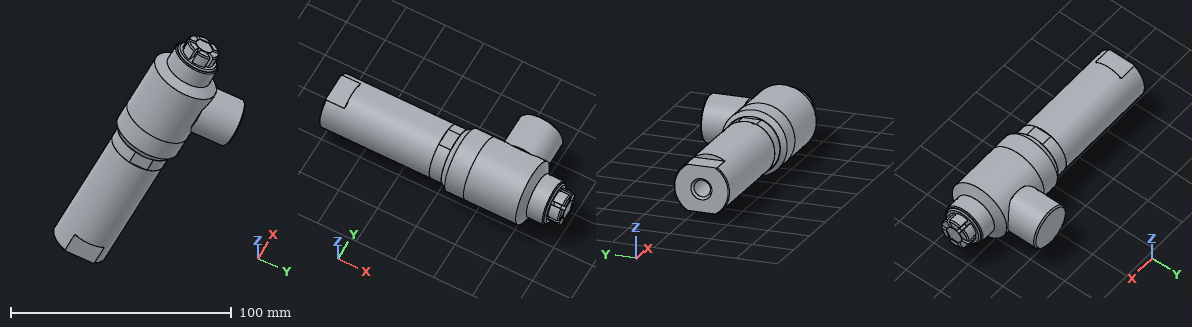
import cadquery as cq
import math

TOTAL_LENGTH = 121.2

SHANK_DIA = 26.9
ROD_LENGTH = 57.0
SHANK_CHAMFER = 0.5
SHANK_FLAT_LENGTH = 9.9
SHANK_ACROSS_FLATS = 22.3
HOLE_DIA = 8.0
HOLE_MOUTH_DIA = 10.2
HOLE_DEPTH = 18.2
DRILL_POINT_ANGLE = 118.0
NECK_DIA = 27.0
NECK_END_X = 63.3
NECK_ACROSS_FLATS = 25.5
REAR_CONE_DIA = 27.5
REAR_CONE_END_X = 66.3
JOINT_X = 76.0

BARREL_DIA = 31.7
BARREL_END_X = 102.9
FRONT_CONE_ANGLE = 60.0
COLLAR_DIA = 21.9
COLLAR_END_X = 114.4
COLLAR_CHAMFER = 0.5
LIP_DIA = 20.1
LIP_LENGTH = 0.7

TIP_DIA = 16.0
TIP_END_DIA = 14.9
TIP_END_X = 120.8
TIP_CHAMFER_LENGTH = 0.7
SLOT_COUNT = 6
SLOT_WIDTH = 1.7
STUD_DIA = 6.8
STUD_HEAD_DIA = 8.7
STUD_HEAD_LENGTH = 2.5

PORT_DIA = 22.9
PORT_X = 90.4
PORT_BASE_Y = 12.1
PORT_END_Y = 31.4
PORT_CHAMFER = 0.7


def revolve_about_x(profile):
    """Turn a closed (x, radius) outline into a solid of revolution about X."""
    return cq.Workplane("XY").polyline(profile).close().revolve(360, (0, 0, 0), (1, 0, 0))


def cut_flats(body, start_x, end_x, across_flats, dia):
    """Cut a pair of flats, facing +Z and -Z, between two X positions."""
    depth = (dia - across_flats) / 2
    for side in (-1, 1):
        cutter = cq.Workplane("XY").box(end_x - start_x, dia, depth)
        center_z = side * (across_flats + depth) / 2
        body = body.cut(cutter.translate(((start_x + end_x) / 2, 0, center_z)))
    return body


def make_shank():
    radius = SHANK_DIA / 2
    shank = revolve_about_x([
        (0, 0),
        (0, radius - SHANK_CHAMFER),
        (SHANK_CHAMFER, radius),
        (ROD_LENGTH, radius),
        (ROD_LENGTH, NECK_DIA / 2),
        (NECK_END_X, NECK_DIA / 2),
        (NECK_END_X, REAR_CONE_DIA / 2),
        (REAR_CONE_END_X, BARREL_DIA / 2),
        (JOINT_X, BARREL_DIA / 2),
        (JOINT_X, 0),
    ])
    shank = cut_flats(shank, 0, SHANK_FLAT_LENGTH, SHANK_ACROSS_FLATS, SHANK_DIA)
    shank = cut_flats(shank, ROD_LENGTH, NECK_END_X, NECK_ACROSS_FLATS, NECK_DIA)

    mouth_depth = (HOLE_MOUTH_DIA - HOLE_DIA) / 2
    point_depth = HOLE_DIA / 2 / math.tan(math.radians(DRILL_POINT_ANGLE / 2))
    hole = revolve_about_x([
        (0, 0),
        (0, HOLE_MOUTH_DIA / 2),
        (mouth_depth, HOLE_DIA / 2),
        (HOLE_DEPTH, HOLE_DIA / 2),
        (HOLE_DEPTH + point_depth, 0),
    ])
    return shank.cut(hole)


def make_barrel():
    """Barrel, front cone, collar and end lip, solid about X."""
    front_cone_length = (BARREL_DIA - COLLAR_DIA) / 2 / math.tan(math.radians(FRONT_CONE_ANGLE))
    front_cone_end_x = BARREL_END_X + front_cone_length
    lip_end_x = COLLAR_END_X + LIP_LENGTH
    return revolve_about_x([
        (JOINT_X, 0),
        (JOINT_X, BARREL_DIA / 2),
        (BARREL_END_X, BARREL_DIA / 2),
        (front_cone_end_x, COLLAR_DIA / 2),
        (COLLAR_END_X - COLLAR_CHAMFER, COLLAR_DIA / 2),
        (COLLAR_END_X, COLLAR_DIA / 2 - COLLAR_CHAMFER),
        (COLLAR_END_X, LIP_DIA / 2),
        (lip_end_x, LIP_DIA / 2 - LIP_LENGTH),
        (lip_end_x, 0),
    ])


def make_tip():
    """Ring of fingers parted by radial slots, with the flared stud in the middle."""
    start_x = COLLAR_END_X + LIP_LENGTH
    fingers = revolve_about_x([
        (start_x, 0),
        (start_x, TIP_DIA / 2),
        (TIP_END_X - TIP_CHAMFER_LENGTH, TIP_DIA / 2),
        (TIP_END_X, TIP_END_DIA / 2),
        (TIP_END_X, 0),
    ])
    for i in range(SLOT_COUNT):
        slot = cq.Workplane("XY").box(
            TIP_END_X - start_x, TIP_DIA, SLOT_WIDTH, centered=(False, False, True)
        )
        slot = slot.translate((start_x, 0, 0))
        fingers = fingers.cut(slot.rotate((0, 0, 0), (1, 0, 0), i * 360 / SLOT_COUNT))

    stud = revolve_about_x([
        (start_x, 0),
        (start_x, STUD_DIA / 2),
        (TOTAL_LENGTH - STUD_HEAD_LENGTH, STUD_DIA / 2),
        (TOTAL_LENGTH, STUD_HEAD_DIA / 2),
        (TOTAL_LENGTH, 0),
    ])
    return fingers.union(stud)


def make_port():
    """Side cylinder that starts on a flat plane inside the barrel's outline."""
    port = cq.Workplane("XZ", origin=(PORT_X, PORT_BASE_Y, 0)).circle(PORT_DIA / 2)
    port = port.extrude(PORT_BASE_Y - PORT_END_Y)
    return port.faces(">Y").chamfer(PORT_CHAMFER)


def make_housing():
    return make_barrel().union(make_port()).union(make_tip())


shank = make_shank()
housing = make_housing()

result = cq.Compound.makeCompound([shank.val(), housing.val()])